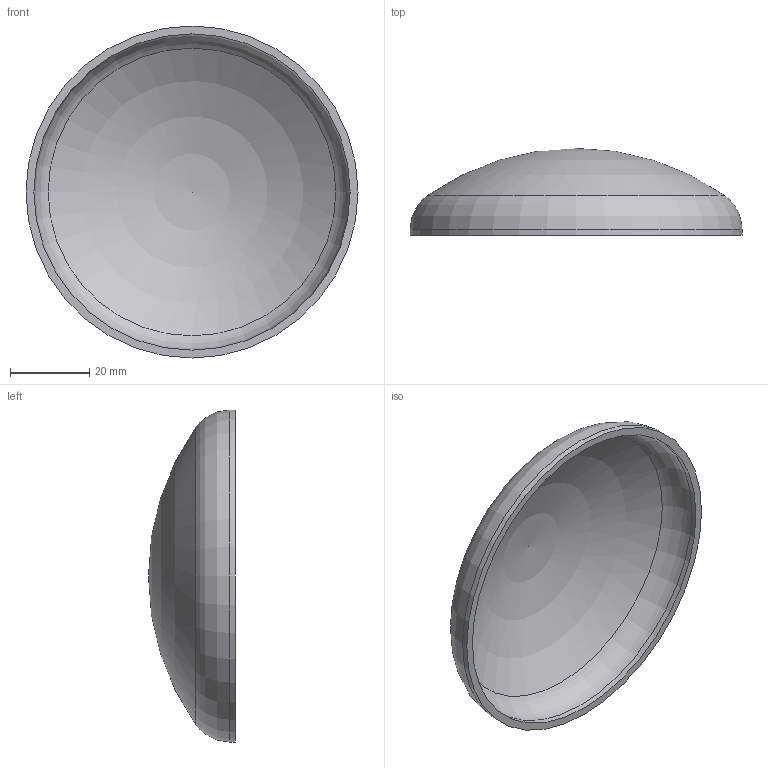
import cadquery as cq
import math

outer_radius = 42.0
height = 22.0
wall = 2.0
rim_height = 1.5
knuckle_radius = 10.5

knuckle_center_x = outer_radius - knuckle_radius

apex_to_knuckle = height - knuckle_radius
crown_center_y = (apex_to_knuckle**2 - knuckle_center_x**2 - rim_height**2) / (
    2 * (apex_to_knuckle - rim_height)
)
tangent_angle = math.atan2(rim_height - crown_center_y, knuckle_center_x)


def knuckle_point(radius, angle):
    """Point on a knuckle arc of the given radius, with the angle measured from +X."""
    return (
        knuckle_center_x + radius * math.cos(angle),
        rim_height + radius * math.sin(angle),
    )


def crown_point(radius, angle):
    """Point on a crown arc of the given radius, with the angle measured from +X."""
    return (radius * math.cos(angle), crown_center_y + radius * math.sin(angle))


def dished_solid(inset):
    """Solid bounded by the outer skin moved inwards by the inset."""
    knuckle = knuckle_radius - inset
    crown = height - crown_center_y - inset
    crown_mid_angle = (tangent_angle + math.pi / 2) / 2
    return (
        cq.Workplane("XY")
        .lineTo(outer_radius - inset, 0)
        .lineTo(outer_radius - inset, rim_height)
        .threePointArc(knuckle_point(knuckle, tangent_angle / 2), knuckle_point(knuckle, tangent_angle))
        .threePointArc(crown_point(crown, crown_mid_angle), (0, height - inset))
        .close()
        .revolve(360, (0, 0, 0), (0, 1, 0))
    )


result = dished_solid(0).cut(dished_solid(wall))